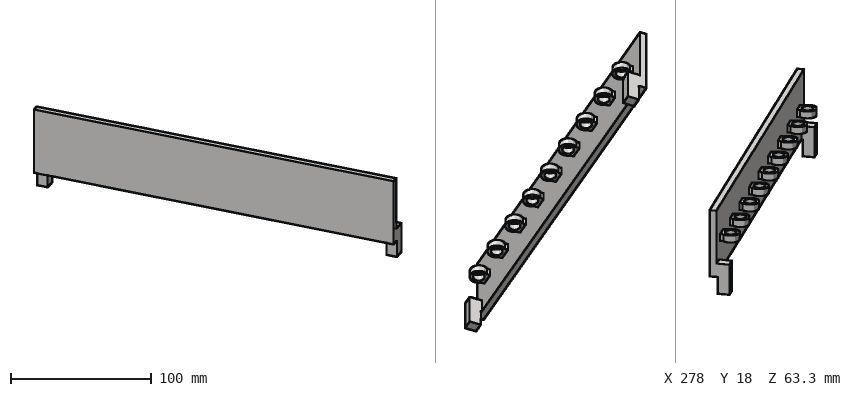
import cadquery as cq

plate_length = 278.0
plate_thickness = 5.0
plate_height = 50.5

hook_width = 8.0
hook_back = 14.5
hook_leg_front = 5.8
hook_top = 10.3
hook_drop = 12.8

ring_count = 9
ring_pitch = 30.45
ring_outer_diameter = 13.0
ring_hole_diameter = 8.3
ring_height = 5.3
ring_bottom = 22.8
ring_back = 18.0
ring_center_y = ring_back - ring_outer_diameter / 2
foot_width = 10.0


def box_between(x_min, x_max, y_min, y_max, z_min, z_max):
    """Box given by its limits along each axis."""
    size = (x_max - x_min, y_max - y_min, z_max - z_min)
    return cq.Workplane("XY").box(*size, centered=False).translate((x_min, y_min, z_min))


def make_plate():
    half_length = plate_length / 2
    return box_between(-half_length, half_length, 0, plate_thickness, 0, plate_height)


def make_hook(x_min):
    """Block against the back of the plate, with a leg below set slightly behind the plate."""
    x_max = x_min + hook_width
    block = box_between(x_min, x_max, plate_thickness, hook_back, 0, hook_top)
    leg = box_between(x_min, x_max, hook_leg_front, hook_back, -hook_drop, 0)
    return block.union(leg)


def make_ring(x_center):
    """Ring with a vertical hole and a straight foot joining it to the plate."""
    base = cq.Workplane("XY", origin=(x_center, ring_center_y, ring_bottom))
    ring = base.circle(ring_outer_diameter / 2).extrude(ring_height)
    hole = base.circle(ring_hole_diameter / 2).extrude(ring_height)
    foot = box_between(
        x_center - foot_width / 2,
        x_center + foot_width / 2,
        plate_thickness,
        ring_center_y,
        ring_bottom,
        ring_bottom + ring_height,
    )
    return ring.union(foot).cut(hole)


result = make_plate()

for hook_x in (-plate_length / 2, plate_length / 2 - hook_width):
    result = result.union(make_hook(hook_x))

for index in range(ring_count):
    ring_x = (index - (ring_count - 1) / 2) * ring_pitch
    result = result.union(make_ring(ring_x))